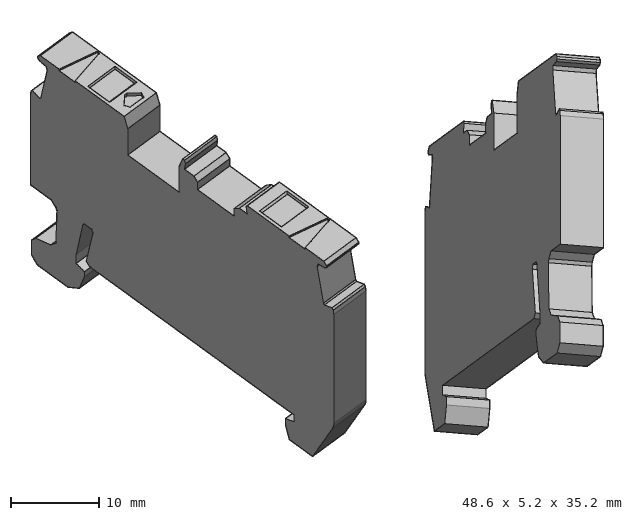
import cadquery as cq

length = 48.6
height = 35.2
thickness = 5.2
mid_x = length / 2

body_bottom_z = 6.03
step_bottom_z = 12.5

lip_top_x = 1.6
lip_tip_x = 1.15
lip_tip_top_z = 34.75
lip_tip_bottom_z = 34.45
lip_underside_x = 1.4
lip_underside_z = 34.2
throat_x = 2.55
throat_z = 34.0
neck_top_x = 2.65
neck_top_z = 33.55
neck_bottom_x = 1.65
neck_bottom_z = 28.2
shoulder_root_x = 1.5
shoulder_root_z = 28.0
shoulder_crest_x = 0.3
shoulder_crest_z = 28.43
shoulder_side_x = 0.1
shoulder_side_z = 28.2
end_wall_top_z = 27.55

wide_slot_left_x = 15.6
wide_slot_right_x = 23.8
wide_slot_bottom_z = 29.2
wide_slot_bevel_x = 0.6
wide_slot_bevel_z = 1.6
barb_root_z = 33.55
barb_tip_left_x = 24.4
barb_tip_right_x = 24.7
barb_nose_x = 24.85
barb_nose_z = 34.7
ledge_left_z = 33.65
ledge_right_z = 33.8
narrow_slot_left_x = 26.75
narrow_slot_right_x = 32.6
narrow_slot_bottom_z = 31.88
narrow_slot_chamfer = 0.6
narrow_slot_bevel_x = 0.87
narrow_slot_bevel_z = 0.75
right_head_x = 34.7
right_head_nose = 0.15
right_head_nose_z = 34.9

hook_bottom_z = 1.35
hook_bottom_left_x = 41.45
hook_bottom_right_x = 45.2
hook_tip_x = 40.8
hook_tip_bottom_z = 3.4
hook_tip_top_z = 4.35
hook_throat_x = 42.2
hook_throat_z = 4.9
flank_top_z = 8.9
flank_radius = 2.45

relief_width = 1.6
relief_top_left_x = 8.4
relief_bottom_left_x = 7.35
relief_bottom_z = 6.45
relief_chamfer = 0.3
relief_inner_chamfer_x = 0.2
relief_inner_chamfer_z = 0.55
body_corner = 0.55

leg_top_x = 4.25
leg_top_z = 11.3
leg_corner_x = 4.1
leg_corner_z = 11.75
leg_chamfer_x = 3.3
leg_bottom_x = 4.1
leg_bottom_z = 5.9

foot_top_z = 4.95
foot_top_left_x = 3.25
foot_left_x = 0.15
foot_left_top_z = 3.4
foot_slope_x = 0.87
foot_slope_z = 4.3
foot_left_chamfer = 0.95
foot_bottom_right_x = 6.03
foot_nose_x = 8.65
foot_nose_top_z = 4.55
foot_nose_bottom_z = 3.75
foot_heel_x = 7.8
foot_heel_z = 1.15

notch_center_x = 5.9
notch_front_width = 2.58
notch_back_width = 0.4
notch_back_gap = 0.2
notch_depth = 0.25

window_left_x = 8.8
window_length = 3.5
window_width = 4.35
window_depth = 0.25
window_draft = 0.15
window_ramp = window_depth

arrow_tip_x = 12.7
arrow_shoulder_x = 13.8
arrow_back_x = 14.5
arrow_tip_width = 0.45
arrow_shoulder_width = 2.75
arrow_back_width = 2.25
arrow_depth = 0.5


def mirror_x(points):
    """Mirror points about the middle of the length, keeping the direction of travel."""
    return [(length - x, z) for x, z in reversed(points)]


left_end = [
    (0, end_wall_top_z),
    (shoulder_side_x, shoulder_side_z),
    (shoulder_crest_x, shoulder_crest_z),
    (shoulder_root_x, shoulder_root_z),
    (neck_bottom_x, neck_bottom_z),
    (neck_top_x, neck_top_z),
    (throat_x, throat_z),
    (lip_underside_x, lip_underside_z),
    (lip_tip_x, lip_tip_bottom_z),
    (lip_tip_x, lip_tip_top_z),
    (lip_top_x, height),
]

top_edge = [
    (wide_slot_left_x - wide_slot_bevel_x, height),
    (wide_slot_left_x, height - wide_slot_bevel_z),
    (wide_slot_left_x, wide_slot_bottom_z),
    (wide_slot_right_x, wide_slot_bottom_z),
    (wide_slot_right_x, barb_root_z),
    (barb_tip_left_x, height),
    (barb_tip_right_x, height),
    (barb_nose_x, barb_nose_z),
    (barb_tip_right_x, ledge_left_z),
    (narrow_slot_left_x - narrow_slot_chamfer, ledge_left_z),
    (narrow_slot_left_x, ledge_left_z - narrow_slot_chamfer),
    (narrow_slot_left_x, narrow_slot_bottom_z),
    (narrow_slot_right_x, narrow_slot_bottom_z),
    (narrow_slot_right_x, ledge_right_z - narrow_slot_bevel_z),
    (narrow_slot_right_x + narrow_slot_bevel_x, ledge_right_z),
    (right_head_x, ledge_right_z),
    (right_head_x - right_head_nose, right_head_nose_z),
    (right_head_x, height),
]

right_hook = [
    (length, flank_top_z),
    (hook_bottom_right_x, hook_bottom_z),
    (hook_bottom_left_x, hook_bottom_z),
    (hook_tip_x, hook_tip_bottom_z),
    (hook_tip_x, hook_tip_top_z),
    (hook_throat_x, hook_throat_z),
    (hook_throat_x, body_bottom_z),
]

relief_slot = [
    (relief_bottom_left_x + relief_width + body_corner, body_bottom_z),
    (relief_bottom_left_x + relief_width, body_bottom_z + body_corner),
    (relief_top_left_x + relief_width, step_bottom_z - relief_inner_chamfer_z),
    (relief_top_left_x + relief_width - relief_inner_chamfer_x, step_bottom_z),
    (relief_top_left_x + relief_chamfer, step_bottom_z),
    (relief_top_left_x, step_bottom_z - relief_chamfer),
    (relief_bottom_left_x, relief_bottom_z),
]

latch_leg = [
    (relief_bottom_left_x, foot_top_z),
    (foot_nose_x, foot_nose_top_z),
    (foot_nose_x, foot_nose_bottom_z),
    (foot_heel_x, foot_heel_z),
    (foot_bottom_right_x, 0),
    (foot_left_x + foot_left_chamfer, 0),
    (foot_left_x, foot_left_chamfer),
    (foot_left_x, foot_left_top_z),
    (foot_slope_x, foot_slope_z),
    (foot_top_left_x, foot_top_z),
    (leg_bottom_x, leg_bottom_z),
    (leg_top_x, leg_top_z),
    (leg_corner_x, leg_corner_z),
    (leg_chamfer_x, step_bottom_z),
    (0, step_bottom_z),
]


def plate():
    """Full-thickness body, with the bend in its right end wall rounded."""
    outline = left_end + top_edge + mirror_x(left_end) + right_hook + relief_slot + latch_leg
    blank = cq.Workplane("XZ").polyline(outline).close().extrude(-thickness)
    bend = cq.selectors.NearestToPointSelector((length, thickness / 2, flank_top_z))
    return blank.edges(bend).fillet(flank_radius)


def notch(center_x):
    """Tapering marker notch, open at the front face and closed just before the back face."""
    back_y = thickness - notch_back_gap
    return (
        cq.Workplane("XY", origin=(center_x, 0, height - notch_depth))
        .polyline([
            (-notch_front_width / 2, 0),
            (notch_front_width / 2, 0),
            (notch_back_width / 2, back_y),
            (-notch_back_width / 2, back_y),
        ])
        .close()
        .extrude(notch_depth)
    )


def window():
    """Left label window with drafted walls and a 45 degree ramp on its inner side."""
    floor_length = window_length - window_draft - window_ramp
    floor_shift = (window_draft - window_ramp) / 2
    return (
        cq.Workplane("XY", origin=(window_left_x + window_length / 2, thickness / 2, height))
        .rect(window_length, window_width)
        .workplane(offset=-window_depth)
        .center(floor_shift, 0)
        .rect(floor_length, window_width - 2 * window_draft)
        .loft(ruled=True)
    )


def arrow():
    """Arrow-shaped recess pointing towards the left window."""
    return (
        cq.Workplane("XY", origin=(0, thickness / 2, height - arrow_depth))
        .polyline([
            (arrow_tip_x, -arrow_tip_width / 2),
            (arrow_shoulder_x, -arrow_shoulder_width / 2),
            (arrow_back_x, -arrow_back_width / 2),
            (arrow_back_x, arrow_back_width / 2),
            (arrow_shoulder_x, arrow_shoulder_width / 2),
            (arrow_tip_x, arrow_tip_width / 2),
        ])
        .close()
        .extrude(arrow_depth)
    )


right_window = window().mirror("YZ", (mid_x, 0, 0))
result = plate().cut(window()).cut(right_window).cut(arrow())
for center_x in (notch_center_x, length - notch_center_x):
    result = result.cut(notch(center_x))